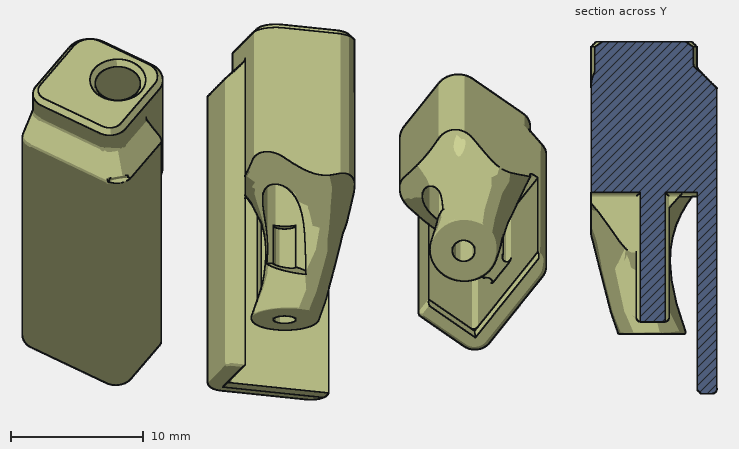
import cadquery as cq
import math

WIDTH = 9.5
DEPTH = 9.46
HEIGHT = 26.52

GUARD_THICKNESS = 1.5
TOWER_RIGHT = WIDTH - GUARD_THICKNESS
TOWER_FRONT = GUARD_THICKNESS
BACK_CORNER_RADIUS = 1.85
FRONT_CORNER_RADIUS = 1.4
TOP_CHAMFER = 0.4

WING_END = 5.8
GUARD_TOP = 24.5
GUARD_EDGE_RADIUS = 0.4
WING_END_RADIUS = 0.3
GUARD_INNER_RADIUS = 0.4
GUARD_INNER_CHAMFER = 0.3
SLOPE_BLEND_RADIUS = 0.5

SPOUT_BOTTOM = 4.5
SPOUT_Y = 5.03
SPOUT_BOTTOM_X = 4.63
SPOUT_TOP_X = 3.1
SPOUT_RADIUS = 2.57
FLARE_TOP = 17.0
FLARE_HEIGHT = FLARE_TOP - SPOUT_BOTTOM
FLARE_GROWTH = 4.15
FLARE_POWER = 4
LEAN_HEIGHT = 8.0
FLARE_SECTIONS = 9
SPOUT_EDGE_RADIUS = 0.15

GAP_BACK = 2.22
GAP_TOP = 15.2
GAP_RADIUS = (GAP_BACK - GUARD_THICKNESS) / 2
GAP_MIDDLE = (GAP_BACK + GUARD_THICKNESS) / 2

WEB_LEFT = 3.4
WEB_RIGHT = 5.9
WEB_BOTTOM = 5.4
WEB_BACK = 3.2
WEB_EDGE_RADIUS = 0.4

HOLE_X = 5.05
HOLE_Y = 6.47
HOLE_RADIUS = 1.7
HOLE_CHAMFER = 0.4
HOLE_FLOOR_Z = 8.0
HOLE_FLOOR_TILT = 30.0
BORE_RADIUS = 0.85
BORE_TOP = 12.0

CLEARANCE = 1.0
MARGIN = 0.01


def box(x_min, x_max, y_min, y_max, z_min, z_max):
    """Box given by its limits along each axis."""
    size = (x_max - x_min, y_max - y_min, z_max - z_min)
    return cq.Workplane("XY").box(*size, centered=False).translate((x_min, y_min, z_min))


def edges_within(body, lowest, highest):
    """Edges of the body that lie wholly inside the box between two corner points."""
    return body.edges(cq.selectors.BoxSelector(lowest, highest, boundingbox=True))


def make_guard():
    """Guard block whose top slopes in at 45 degrees from the front and the right."""
    shoulder = GUARD_TOP - GUARD_THICKNESS
    slope_run = GUARD_THICKNESS + FRONT_CORNER_RADIUS
    peak = shoulder + slope_run
    front_profile = [(0, 0), (0, shoulder), (slope_run, peak), (WING_END, peak), (WING_END, 0)]
    right_profile = [(0, 0), (WIDTH, 0), (WIDTH, shoulder), (WIDTH - slope_run, peak), (0, peak)]
    front_sloped = cq.Workplane("YZ").polyline(front_profile).close().extrude(WIDTH)
    right_sloped = cq.Workplane("XZ").polyline(right_profile).close().extrude(-WING_END)
    guard = front_sloped.intersect(right_sloped)
    right_corner = edges_within(
        guard, (WIDTH - slope_run - MARGIN, -MARGIN, -MARGIN), (WIDTH + MARGIN, slope_run + MARGIN, HEIGHT)
    )
    return guard.newObject(right_corner.vals()).fillet(FRONT_CORNER_RADIUS)


def round_left_corner(block):
    """Round the front left corner as one run: tower, slope and plate."""
    corner = edges_within(
        block, (-MARGIN, -MARGIN, -MARGIN), (MARGIN, GUARD_THICKNESS + MARGIN, HEIGHT + MARGIN)
    )
    return block.newObject(corner.vals()).fillet(FRONT_CORNER_RADIUS)


def blend_front_slope(block):
    """Blend the slope into the plate below it and into the tower above it."""
    shoulder = GUARD_TOP - GUARD_THICKNESS
    blended = []
    for y, z in [(0, shoulder), (TOWER_FRONT, GUARD_TOP)]:
        line = edges_within(block, (0, y - MARGIN, z - MARGIN), (WIDTH, y + MARGIN, z + MARGIN))
        blended += line.vals()
    return block.newObject(blended).fillet(SLOPE_BLEND_RADIUS)


def make_outer_block():
    """Tower and guard as one full-height block with its outer edges finished."""
    tower = box(0, TOWER_RIGHT, TOWER_FRONT, DEPTH, 0, HEIGHT)
    tower = tower.edges("|Z and >Y").fillet(BACK_CORNER_RADIUS)
    tower = tower.edges("|Z and <Y and >X").fillet(FRONT_CORNER_RADIUS)
    block = tower.union(make_guard()).clean()
    block = round_left_corner(block)
    block = blend_front_slope(block)
    return block.faces(">Z").chamfer(TOP_CHAMFER)


def spout_section(rise):
    """Round spout section at a height above the spout bottom."""
    lean_left = max(0.0, 1 - rise / LEAN_HEIGHT) ** 2
    center_x = SPOUT_TOP_X + (SPOUT_BOTTOM_X - SPOUT_TOP_X) * lean_left
    radius = SPOUT_RADIUS + FLARE_GROWTH * (rise / FLARE_HEIGHT) ** FLARE_POWER
    center = cq.Vector(center_x, SPOUT_Y, SPOUT_BOTTOM + rise)
    return cq.Wire.makeCircle(radius, center, cq.Vector(0, 0, 1))


def make_flare():
    """Leaning spout that widens upward into the tower."""
    step = FLARE_HEIGHT / (FLARE_SECTIONS - 1)
    sections = [spout_section(step * index) for index in range(FLARE_SECTIONS)]
    flare = cq.Workplane(obj=cq.Solid.makeLoft(sections))
    return flare.faces("<Z").edges().fillet(SPOUT_EDGE_RADIUS)


def make_web():
    """Web across the gap, rounded along its bottom and hollowed along its two sides."""
    web = box(WEB_LEFT, WEB_RIGHT, GUARD_THICKNESS, WEB_BACK, WEB_BOTTOM, FLARE_TOP)
    web = web.faces("<Z").edges("|Y").fillet(WEB_EDGE_RADIUS)
    sides = cq.Workplane("XY").pushPoints([(WEB_LEFT, GAP_MIDDLE), (WEB_RIGHT, GAP_MIDDLE)])
    return web.cut(sides.circle(GAP_RADIUS).extrude(GAP_TOP))


def make_undercut():
    """Space below the tower, behind the plate and left of the wing, around spout and web."""
    space = box(-CLEARANCE, TOWER_RIGHT, GUARD_THICKNESS, DEPTH + CLEARANCE, -CLEARANCE, FLARE_TOP)
    space = space.edges("|Z and >X and <Y").fillet(GUARD_INNER_RADIUS)
    gap = box(-CLEARANCE, TOWER_RIGHT, 0, GAP_BACK, -CLEARANCE, GAP_TOP)
    gap = gap.edges("|X and >Z").fillet(GAP_RADIUS - MARGIN)
    gap_roof = box(-CLEARANCE, TOWER_RIGHT, 0, GAP_BACK, GAP_TOP - GAP_RADIUS, FLARE_TOP).cut(gap)
    spout = make_flare().cut(box(-DEPTH, 2 * WIDTH, -DEPTH, GAP_BACK, 0, HEIGHT))
    return space.cut(spout).cut(gap_roof).cut(make_web())


def make_inner_chamfer():
    """Wedge that chamfers the bottom edge on the inside of the plate and the wing."""
    size = GUARD_INNER_CHAMFER
    wedge = box(-CLEARANCE, TOWER_RIGHT + size, GUARD_THICKNESS - size, DEPTH, -size, size)
    return wedge.faces(">Z").edges(">X or <Y").chamfer(size)


def finish_guard(body):
    """Round the wing end and the bottom outer edges, and chamfer the bottom inner edge."""
    wing_end_edge = edges_within(
        body,
        (WIDTH - MARGIN, WING_END - MARGIN, -MARGIN),
        (WIDTH + MARGIN, WING_END + MARGIN, GUARD_TOP),
    )
    body = wing_end_edge.fillet(WING_END_RADIUS)
    bottom_front = edges_within(body, (0, -MARGIN, -MARGIN), (WIDTH, MARGIN, MARGIN))
    bottom_end = edges_within(
        body, (TOWER_RIGHT - MARGIN, WING_END - MARGIN, -MARGIN), (WIDTH, WING_END + MARGIN, MARGIN)
    )
    body = body.newObject(bottom_front.vals() + bottom_end.vals()).fillet(GUARD_EDGE_RADIUS)
    return body.cut(make_inner_chamfer())


def make_hole():
    """Tower hole with a chamfered mouth and a floor that falls toward the back."""
    shaft = cq.Workplane("XY").center(HOLE_X, HOLE_Y).circle(HOLE_RADIUS).extrude(HEIGHT)
    floor_drop = WIDTH * math.tan(math.radians(HOLE_FLOOR_TILT))
    above_floor = (
        cq.Workplane("YZ")
        .polyline([
            (HOLE_Y - WIDTH, HOLE_FLOOR_Z + floor_drop),
            (HOLE_Y + WIDTH, HOLE_FLOOR_Z - floor_drop),
            (HOLE_Y + WIDTH, HEIGHT),
            (HOLE_Y - WIDTH, HEIGHT),
        ])
        .close()
        .extrude(WIDTH)
    )
    mouth_radius = HOLE_RADIUS + HOLE_CHAMFER
    mouth = cq.Solid.makeCone(
        HOLE_RADIUS, mouth_radius, HOLE_CHAMFER, pnt=cq.Vector(HOLE_X, HOLE_Y, HEIGHT - HOLE_CHAMFER)
    )
    return shaft.intersect(above_floor).union(cq.Workplane(obj=mouth))


def make_bore():
    """Narrow bore from the spout bottom up into the tower hole."""
    start = (SPOUT_BOTTOM_X, SPOUT_Y, 0)
    return cq.Workplane("XY", origin=start).circle(BORE_RADIUS).extrude(BORE_TOP)


body = make_outer_block().cut(make_undercut())
body = finish_guard(body)
result = body.cut(make_hole()).cut(make_bore())